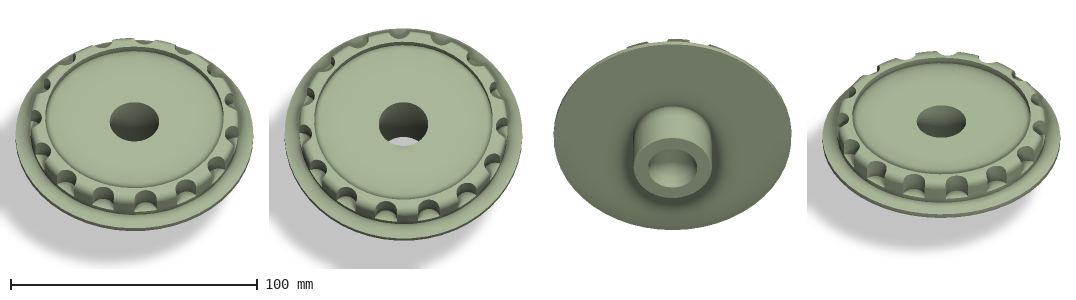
import cadquery as cq

flange_diameter = 96.3
grip_diameter = 84.3
recess_diameter = 72.3
hub_diameter = 31.9
bore_diameter = 20.0

hub_length = 20.0
flange_edge_thickness = 1.9
flange_slope_rise = 1.1
grip_height = 10.0
recess_depth = 3.0

grip_fillet = 3.0
hub_chamfer = 0.4

flute_count = 15
flute_radius = 4.5
flute_circle_radius = 42.0
flute_depth = 8.0

grip_base_z = hub_length + flange_edge_thickness + flange_slope_rise
top_z = grip_base_z + grip_height


def make_body():
    """Hub, flange with sloped top face, and plain round grip."""
    hub_radius = hub_diameter / 2
    flange_radius = flange_diameter / 2
    grip_radius = grip_diameter / 2
    profile = (
        cq.Workplane("XZ")
        .lineTo(hub_radius - hub_chamfer, 0)
        .lineTo(hub_radius, hub_chamfer)
        .lineTo(hub_radius, hub_length)
        .lineTo(flange_radius, hub_length)
        .lineTo(flange_radius, hub_length + flange_edge_thickness)
        .lineTo(grip_radius, grip_base_z)
        .lineTo(grip_radius, top_z)
        .lineTo(0, top_z)
        .close()
    )
    body = profile.revolve(360, (0, 0, 0), (0, 1, 0))
    return body.faces(">Z").edges().fillet(grip_fillet)


def make_flutes():
    """Ring of vertical cutters with one flute on the +X axis."""
    return (
        cq.Workplane("XY", origin=(0, 0, top_z - flute_depth))
        .polarArray(flute_circle_radius, 0, 360, flute_count)
        .circle(flute_radius)
        .extrude(flute_depth)
    )


def make_recess():
    """Shallow round pocket in the top face."""
    return (
        cq.Workplane("XY", origin=(0, 0, top_z - recess_depth))
        .circle(recess_diameter / 2)
        .extrude(recess_depth)
    )


def make_bore():
    """Through hole along the axis."""
    return cq.Workplane("XY").circle(bore_diameter / 2).extrude(top_z)


result = make_body().cut(make_flutes()).cut(make_recess()).cut(make_bore())